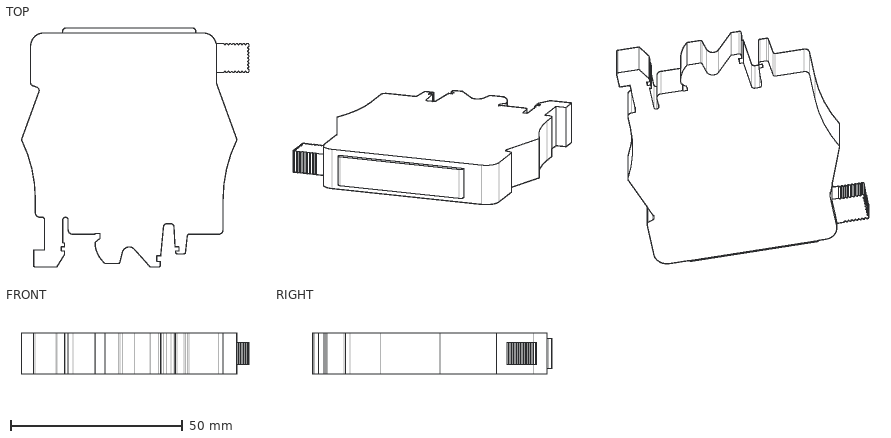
import cadquery as cq
import math


thickness = 12.0
half_base_width = 27.5
half_tip_width = 31.5
head_left = -28.9
head_right = 25.5
head_top = 68.5
tip_y = 37.25
bow_bottom = 19.85
base_y = 9.6
flank_slope = math.tan(math.radians(20))

head_radius = 4.0
base_radius = 1.4
lip_radius = 1.0
small_radius = 0.5
sharp_radius = 0.3
tip_radius = 0.35

lip_root_y = 52.2
lip_root_x = -half_tip_width + (lip_root_y - tip_y) * flank_slope
lip_edge_y = lip_root_y + (lip_root_x - head_left) * flank_slope
right_flank_top = tip_y + (half_tip_width - head_right) / flank_slope

shoulder_y = 14.55
foot_left = -27.95
foot_top = 5.0
leg_left = -24.8
leg_right = -19.35
lug_x = -18.9
lug_top = 7.1
catch_top = 5.95
catch_bottom = 4.75
left_catch_x = -19.85
foot_chamfer_top = 3.7
foot_chamfer_x = -21.2
relief_right = -17.9
relief_radius = 0.7

step_x = -10.0
step_y = 9.8
hook_neck_x = -8.6
hook_neck_bottom = 8.4
hook_nose_y = 7.3
belly_top = 6.2
belly_middle = (-9.1, 3.55)
belly_end_x = -7.1
hook_bottom = 1.05
hook_right = -2.8
valley_apex = (-1.05, 8.05)
valley_radius = 2.0

right_foot_left = 6.15
right_foot_right = 9.1
right_notch_x = 8.1
right_notch_bottom = 1.7
right_notch_top = 3.3
right_foot_neck = 9.2

slot_top = 12.65
slot_left = 10.15
slot_right = 13.0
slot_radius = 0.85
finger_left = 13.55
finger_catch_left = 13.35
finger_catch_lower_left = 13.5
finger_catch_x = 14.55
finger_bottom = 3.85
finger_right = 16.4
finger_root_right = 17.05

strip_half_width = 19.5
strip_top = 69.9
strip_thickness = 8.8
strip_radius = 1.0

plug_end = 35.0
plug_bottom = 56.8
plug_top = 65.4
plug_thickness = 6.5
plug_chamfer = 0.35
groove_count = 7
groove_span = 6.0
groove_pitch = groove_span / (groove_count - 1)
groove_width = 0.85
groove_depth = 0.4
last_groove_x = 34.0

overlap = 1.4


def toward(start, target, distance):
    """Point at a distance from start on the straight line to target."""
    share = distance / math.dist(start, target)
    return tuple(a + (b - a) * share for a, b in zip(start, target))


def add_run(path, stations):
    """Extend a path by straight lines; a station (x, y, radius) is a rounded corner."""
    for before, station, after in zip(stations, stations[1:], stations[2:]):
        corner = station[:2]
        if len(station) == 2:
            path = path.lineTo(*corner)
            continue
        radius = station[2]
        ray_in = toward(corner, before[:2], 0.7)
        ray_out = toward(corner, after[:2], 0.7)
        half_angle = math.asin(math.dist(ray_in, ray_out) / 1.4)
        setback = radius / math.tan(half_angle)
        arc_start = toward(corner, before[:2], setback)
        arc_end = toward(corner, after[:2], setback)
        bisector = tuple((a + b) / 2 for a, b in zip(ray_in, ray_out))
        arc_middle = toward(corner, bisector, radius / math.sin(half_angle) - radius)
        path = path.lineTo(*arc_start).threePointArc(arc_middle, arc_end)
    return path.lineTo(*stations[-1][:2])


def bow_middle(side):
    """Point halfway along the concave side arc, which runs tangent into the base wall."""
    rise = tip_y - bow_bottom
    spread = half_tip_width - half_base_width
    radius = (rise**2 + spread**2) / (2 * spread)
    half_sweep = math.atan2(spread, rise)
    x = half_base_width + radius * (1 - math.cos(half_sweep))
    return side * x, bow_bottom + radius * math.sin(half_sweep)


def make_housing():
    left_tip = (-half_tip_width, tip_y)
    right_tip = (half_tip_width, tip_y)
    left_bow_end = (-half_base_width, bow_bottom)
    right_bow_end = (half_base_width, bow_bottom)

    left_foot_run = [
        left_bow_end,
        (-half_base_width, shoulder_y, base_radius),
        (leg_left, shoulder_y, small_radius),
        (leg_left, foot_top),
        (foot_left, foot_top),
        (foot_left, 0, small_radius),
        (foot_chamfer_x, 0, sharp_radius),
        (lug_x, foot_chamfer_top),
        (lug_x, catch_bottom),
        (left_catch_x, catch_bottom),
        (left_catch_x, catch_top),
        (lug_x, catch_top),
        (lug_x, lug_top),
        (leg_right, lug_top),
        (leg_right, shoulder_y, relief_radius),
        (relief_right, shoulder_y, relief_radius),
        (relief_right, base_y, base_radius),
        (step_x, base_y),
        (step_x, step_y),
        (hook_neck_x, step_y),
        (hook_neck_x, hook_neck_bottom),
        (step_x, hook_nose_y, small_radius),
        (step_x, belly_top),
    ]
    right_foot_run = [
        (belly_end_x, hook_bottom),
        (hook_right, hook_bottom, small_radius),
        (*valley_apex, valley_radius),
        (right_foot_left, 0, sharp_radius),
        (right_foot_right, 0, small_radius),
        (right_foot_right, right_notch_bottom),
        (right_notch_x, right_notch_bottom),
        (right_notch_x, right_notch_top),
        (right_foot_neck, right_notch_top),
        (slot_left, slot_top, slot_radius),
        (slot_right, slot_top, slot_radius),
        (finger_catch_left, catch_top),
        (finger_catch_x, catch_top),
        (finger_catch_x, catch_bottom),
        (finger_catch_lower_left, catch_bottom),
        (finger_left, finger_bottom, small_radius),
        (finger_right, finger_bottom, small_radius),
        (finger_root_right, base_y, small_radius),
        (half_base_width, base_y, base_radius),
        right_bow_end,
    ]
    head_run = [
        right_tip,
        (head_right, right_flank_top),
        (head_right, head_top, head_radius),
        (head_left, head_top, head_radius),
        (head_left, lip_edge_y, lip_radius),
        (lip_root_x, lip_root_y, lip_radius),
        left_tip,
    ]

    path = cq.Workplane("XY").workplane(offset=-thickness / 2).moveTo(*left_tip)
    path = path.threePointArc(bow_middle(-1), left_bow_end)
    path = add_run(path, left_foot_run)
    path = path.threePointArc(belly_middle, (belly_end_x, hook_bottom))
    path = add_run(path, right_foot_run)
    path = path.threePointArc(bow_middle(1), right_tip)
    path = add_run(path, head_run)
    housing = path.close().extrude(thickness)
    for tip in (left_tip, right_tip):
        tip_edge = cq.selectors.NearestToPointSelector((*tip, 0))
        housing = housing.edges(tip_edge).fillet(tip_radius)
    return housing


def make_block(left, right, bottom, top, height):
    """Rectangular block centred on Z = 0."""
    block = cq.Workplane("XY").box(right - left, top - bottom, height)
    return block.translate(((left + right) / 2, (bottom + top) / 2, 0))


def make_strip():
    strip = make_block(
        -strip_half_width, strip_half_width, head_top - overlap, strip_top, strip_thickness
    )
    return strip.edges("|Z and >Y").fillet(strip_radius)


def make_groove(x, y, angle):
    """V-shaped cutter that opens toward +Y before it is turned by angle about Z."""
    groove = (
        cq.Workplane("XY")
        .polyline([(-groove_width / 2, 0), (0, -groove_depth), (groove_width / 2, 0)])
        .close()
        .extrude(plug_thickness / 2, both=True)
    )
    return groove.rotate((0, 0, 0), (0, 0, 1), angle).translate((x, y, 0))


def make_plug():
    plug = make_block(head_right - overlap, plug_end, plug_bottom, plug_top, plug_thickness)
    plug = plug.edges("|Z and >X").chamfer(plug_chamfer)
    middle_y = (plug_bottom + plug_top) / 2
    for i in range(groove_count):
        x = last_groove_x - i * groove_pitch
        y = middle_y + (i - (groove_count - 1) / 2) * groove_pitch
        plug = plug.cut(make_groove(x, plug_top, 0))
        plug = plug.cut(make_groove(x, plug_bottom, 180))
        plug = plug.cut(make_groove(plug_end, y, -90))
    return plug


result = make_housing().union(make_strip()).union(make_plug())